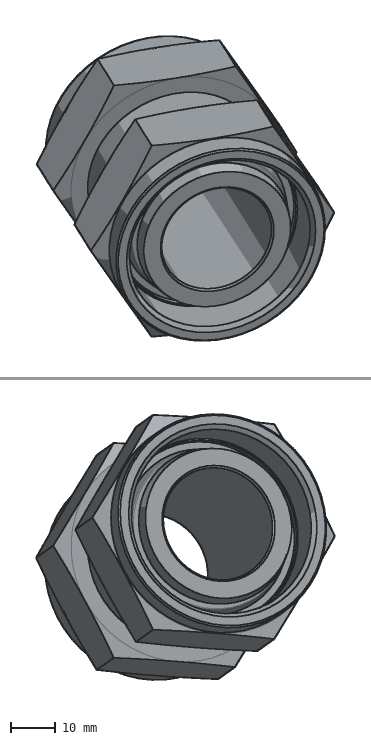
import cadquery as cq
import math

overall_length = 54.0
half_length = overall_length / 2

hex_flats = 50.0
hex_corner_radius = hex_flats / 2 / math.cos(math.radians(30))
hex_chamfer_angle = 15.0
hex_start = 5.5
nut_length = 20.0
hex_face_radius = hex_flats / 2
rim_radius = 24.8
rim_chamfer = 0.4
nut_mouth_radius = 21.4
nut_mouth_chamfer = 1.0
nut_mouth_depth = 10.5

barrel_radius = 21.0
barrel_setback = 12.0
stub_setback = 3.0
bore_radius = 13.0
bore_chamfer = 0.45
stub_tip_radius = 17.4
stub_taper_angle = 12.0
groove_setback = 3.3
groove_width = 2.6
groove_depth = 1.5
groove_lip_fillet = 0.3

half_barrel = half_length - barrel_setback
half_body = half_length - stub_setback


def turned(outline):
    """Solid of revolution about X from a list of (x, radius) points."""
    return cq.Workplane("XY").polyline(outline).close().revolve(360, (0, 0, 0), (1, 0, 0))


def stub_radius(x):
    """Radius of the tapered stub at position x on the +X end."""
    return stub_tip_radius + (half_body - x) * math.tan(math.radians(stub_taper_angle))


def make_body():
    """Barrel with a tapered, grooved stub at each end and a chamfered through bore."""
    groove_front = half_body - groove_setback
    groove_back = groove_front - groove_width
    groove_floor_radius = stub_radius(groove_front) - groove_depth
    right_profile = [
        (half_barrel, barrel_radius),
        (half_barrel, stub_radius(half_barrel)),
        (groove_back, stub_radius(groove_back)),
        (groove_back, groove_floor_radius),
        (groove_front, groove_floor_radius),
        (groove_front, stub_radius(groove_front)),
        (half_body, stub_tip_radius),
        (half_body, bore_radius + bore_chamfer),
        (half_body - bore_chamfer, bore_radius),
    ]
    left_profile = [(-x, radius) for x, radius in reversed(right_profile)]
    body = turned(right_profile + left_profile)

    lip_radii = [stub_radius(groove_front), stub_radius(groove_back)]
    groove_lips = [
        edge
        for edge in body.edges("%CIRCLE").vals()
        if any(math.isclose(edge.radius(), lip_radius) for lip_radius in lip_radii)
    ]
    return body.newObject(groove_lips).fillet(groove_lip_fillet)


def make_left_nut():
    """Nut on the -X end: round rim, hexagon with chamfered corners, stepped bore."""
    outer_face = -half_length
    hex_face = outer_face + hex_start
    inner_face = outer_face + nut_length
    corner_setback = (hex_corner_radius - hex_face_radius) * math.tan(math.radians(hex_chamfer_angle))

    hexagon = (
        cq.Workplane("YZ", origin=(hex_face, 0, 0))
        .polygon(6, 2 * hex_corner_radius)
        .extrude(inner_face - hex_face)
    )
    corner_chamfers = turned([
        (hex_face, 0),
        (hex_face, hex_face_radius),
        (hex_face + corner_setback, hex_corner_radius),
        (inner_face - corner_setback, hex_corner_radius),
        (inner_face, hex_face_radius),
        (inner_face, 0),
    ])
    rim = turned([
        (outer_face, 0),
        (outer_face, rim_radius - rim_chamfer),
        (outer_face + rim_chamfer, rim_radius),
        (hex_face, rim_radius),
        (hex_face, 0),
    ])
    stepped_bore = turned([
        (outer_face, 0),
        (outer_face, nut_mouth_radius + nut_mouth_chamfer),
        (outer_face + nut_mouth_chamfer, nut_mouth_radius),
        (outer_face + nut_mouth_depth, nut_mouth_radius),
        (outer_face + nut_mouth_depth, barrel_radius),
        (inner_face, barrel_radius),
        (inner_face, 0),
    ])
    return hexagon.intersect(corner_chamfers).union(rim).cut(stepped_bore)


body = make_body()
left_nut = make_left_nut()
nuts = [left_nut, left_nut.mirror("YZ")]

result = cq.Compound.makeCompound([body.val(), *[nut.val() for nut in nuts]])